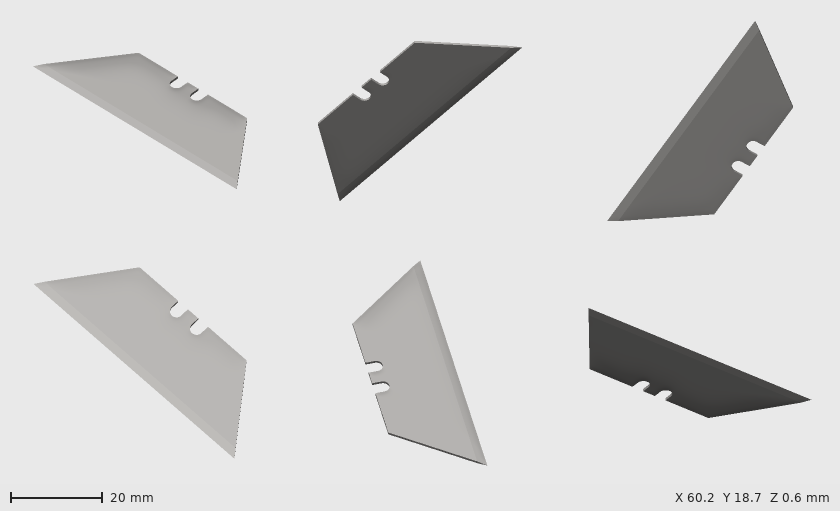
import cadquery as cq

edge_length = 60.25
back_length = 32.05
blade_width = 18.7
thickness = 0.6

bevel_width = 1.9

notch_spacing = 6.0
notch_width = 2.9
notch_depth = 3.5


def blade_blank():
    """Symmetric trapezoid with the long cutting edge along Y = 0."""
    return (
        cq.Workplane("XY")
        .polyline([
            (-edge_length / 2, 0),
            (edge_length / 2, 0),
            (back_length / 2, blade_width),
            (-back_length / 2, blade_width),
        ])
        .close()
        .extrude(thickness)
    )


def ground_profile():
    """Side profile of the blade, tapering to a sharp edge at mid thickness."""
    return (
        cq.Workplane("YZ")
        .polyline([
            (0, thickness / 2),
            (bevel_width, 0),
            (blade_width, 0),
            (blade_width, thickness),
            (bevel_width, thickness),
        ])
        .close()
        .extrude(edge_length / 2, both=True)
    )


def notch(center_x):
    """Straight-sided notch with a semicircular floor."""
    floor = blade_width - notch_depth
    wall_end = floor + notch_width / 2
    left = center_x - notch_width / 2
    right = center_x + notch_width / 2
    return (
        cq.Workplane("XY")
        .moveTo(left, blade_width)
        .lineTo(left, wall_end)
        .threePointArc((center_x, floor), (right, wall_end))
        .lineTo(right, blade_width)
        .close()
        .extrude(thickness)
    )


result = blade_blank().intersect(ground_profile())
for side in (-1, 1):
    result = result.cut(notch(side * notch_spacing / 2))